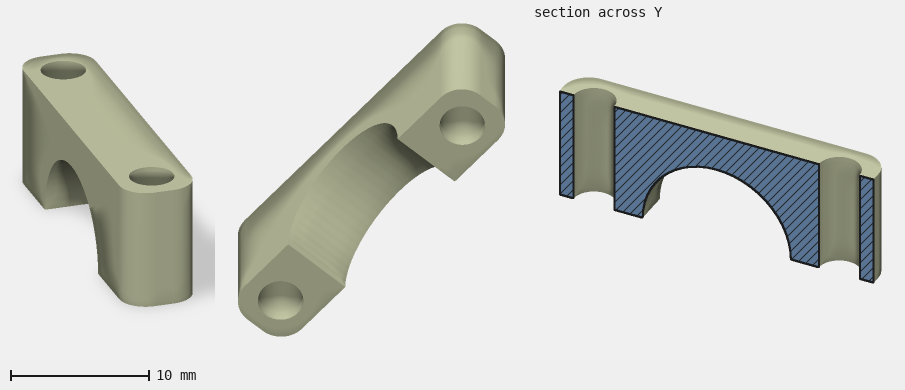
import cadquery as cq

length = 25.5
width = 5.5
height = 9.0
corner_radius = 2.01

hole_diameter = 3.3
hole_spacing = 19.9

saddle_diameter = 11.98

block = (
    cq.Workplane("XY")
    .box(length, width, height, centered=(True, True, False))
    .edges("|Z")
    .fillet(corner_radius)
)

screw_holes = (
    cq.Workplane("XY")
    .rarray(hole_spacing, 0.25, 2, 1)
    .circle(hole_diameter / 2)
    .extrude(height)
)

saddle = (
    cq.Workplane("XZ", origin=(0, width / 2, 0))
    .circle(saddle_diameter / 2)
    .extrude(width)
)

result = block.cut(screw_holes).cut(saddle)